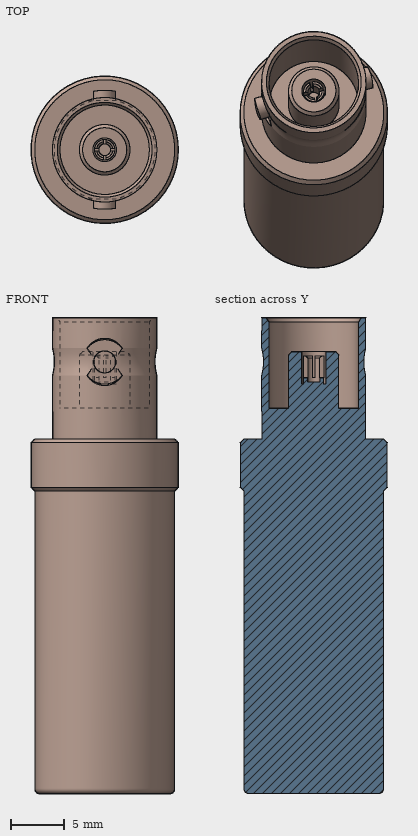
import cadquery as cq
import math

total_height = 44.2
collar_bottom = 28.1
collar_top = 32.95

body_radius = 6.5
body_fillet = 0.45
collar_radius = 6.85
barrel_radius = 4.85
collar_chamfer = collar_radius - body_radius

lug_drop = 4.1
lug_height = total_height - lug_drop
groove_half_width = 1.28
groove_depth = 0.17

lug_radius = 1.02
lug_reach = 5.52
flat_distance = 4.56
flat_radius = 2.06
flat_wall_angle = 25.0

mouth_radius = 4.15
mouth_depth = 8.4
mouth_rim_radius = 4.4
mouth_chamfer_depth = 0.4

insulator_radius = 2.35
insulator_chamfer = 0.3
insulator_recess = 3.15
insulator_bore_radius = 1.1
insulator_bore_depth = 3.0

contact_radius = 0.95
contact_bore_radius = 0.55
contact_bore_chamfer = 0.2
contact_recess = 0.4
contact_bore_depth = 2.4
slot_count = 4
slot_width = 0.25
slot_depth = 2.0


def disc(radius, bottom, top):
    """Upright cylinder on the Z axis between two heights."""
    return cq.Workplane("XY").workplane(offset=bottom).circle(radius).extrude(top - bottom)


def make_body():
    """Lower body, chamfered collar and grooved barrel as one turned profile."""
    groove_radius = (groove_half_width**2 + groove_depth**2) / (2 * groove_depth)
    groove_floor = (barrel_radius - groove_depth, lug_height)
    profile = (
        cq.Workplane("XZ")
        .moveTo(0, 0)
        .lineTo(body_radius - body_fillet, 0)
        .radiusArc((body_radius, body_fillet), -body_fillet)
        .lineTo(body_radius, collar_bottom)
        .lineTo(collar_radius, collar_bottom + collar_chamfer)
        .lineTo(collar_radius, collar_top - collar_chamfer)
        .lineTo(collar_radius - collar_chamfer, collar_top)
        .lineTo(barrel_radius, collar_top)
        .lineTo(barrel_radius, lug_height - groove_half_width)
        .radiusArc(groove_floor, groove_radius)
        .radiusArc((barrel_radius, lug_height + groove_half_width), groove_radius)
        .lineTo(barrel_radius, total_height)
        .lineTo(0, total_height)
        .close()
    )
    return profile.revolve(360, (0, 0, 0), (0, 1, 0))


def make_flat_cutter(side):
    """Cone frustum that sinks a flat with sloping walls into one side of the barrel."""
    cutter_length = lug_reach - flat_distance
    outer_radius = flat_radius + cutter_length * math.tan(math.radians(flat_wall_angle))
    return cq.Workplane(
        cq.Solid.makeCone(
            flat_radius,
            outer_radius,
            cutter_length,
            pnt=cq.Vector(0, side * flat_distance, lug_height),
            dir=cq.Vector(0, side, 0),
        )
    )


def make_lugs():
    """Round cross pin whose ends follow a cylinder about the Z axis."""
    pin = (
        cq.Workplane("XZ")
        .center(0, lug_height)
        .circle(lug_radius)
        .extrude(lug_reach, both=True)
    )
    return pin.intersect(disc(lug_reach, collar_top, total_height))


def make_mouth():
    """Blind bore of the barrel with a tapered lead-in."""
    floor = total_height - mouth_depth
    profile = (
        cq.Workplane("XZ")
        .moveTo(0, floor)
        .lineTo(mouth_radius, floor)
        .lineTo(mouth_radius, total_height - mouth_chamfer_depth)
        .lineTo(mouth_rim_radius, total_height)
        .lineTo(0, total_height)
        .close()
    )
    return profile.revolve(360, (0, 0, 0), (0, 1, 0))


def make_insulator():
    """Chamfered post on the mouth floor with a blind bore for the contact."""
    top = total_height - insulator_recess
    post = disc(insulator_radius, total_height - mouth_depth, top)
    post = post.faces(">Z").chamfer(insulator_chamfer)
    return post.cut(disc(insulator_bore_radius, top - insulator_bore_depth, top))


def make_contact():
    """Socket contact with a blind bore and evenly spaced radial slots."""
    bore_floor = total_height - insulator_recess - insulator_bore_depth
    top = total_height - insulator_recess - contact_recess
    contact = disc(contact_radius, bore_floor, top)
    contact = contact.cut(disc(contact_bore_radius, top - contact_bore_depth, top))
    contact = contact.faces(">Z").edges(cq.selectors.RadiusNthSelector(0))
    contact = contact.chamfer(contact_bore_chamfer)
    for index in range(slot_count):
        slot = (
            cq.Workplane("XY")
            .workplane(offset=top - slot_depth)
            .center(insulator_bore_radius / 2, 0)
            .rect(insulator_bore_radius, slot_width)
            .extrude(slot_depth)
            .rotate((0, 0, 0), (0, 0, 1), index * 360 / slot_count)
        )
        contact = contact.cut(slot)
    return contact


shell = make_body()
for lug_side in (-1, 1):
    shell = shell.cut(make_flat_cutter(lug_side))
shell = shell.union(make_lugs()).cut(make_mouth())
result = shell.union(make_insulator()).union(make_contact())